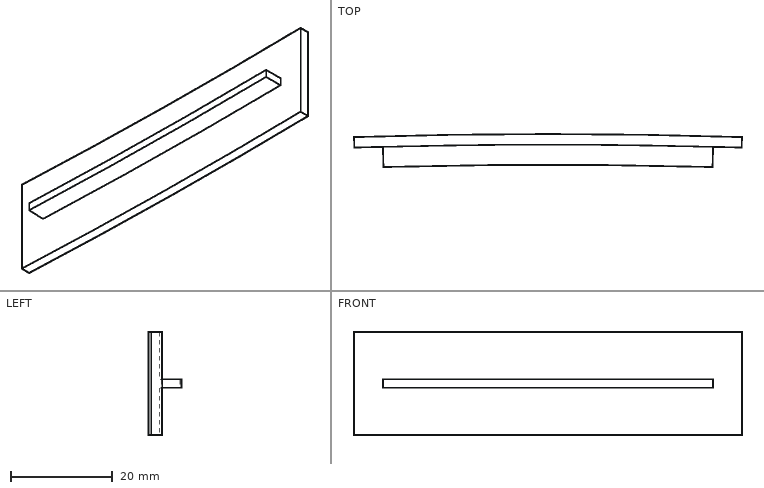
import cadquery as cq
import math

plate_length = 76.37
plate_height = 20.3
plate_thickness = 2.1
back_radius = 1200.0
rib_length = 65.0
rib_depth = 4.0
rib_thickness = 1.7

front_radius = back_radius - plate_thickness
rib_tip_radius = front_radius - rib_depth
rib_root_overlap = plate_thickness / 2
rib_root_radius = front_radius + rib_root_overlap

plate_half_angle = math.asin(plate_length / 2 / back_radius)
rib_half_angle = math.asin(rib_length / 2 / front_radius)


def arc_point(radius, angle):
    """Point on a concentric arc; the middle of the back face is the origin."""
    return (radius * math.sin(angle), radius * math.cos(angle) - back_radius)


def curved_bar(outer_radius, inner_radius, half_angle, height):
    """Bar between two concentric arcs with radial ends, centred on Z = 0."""
    return (
        cq.Workplane("XY")
        .moveTo(*arc_point(outer_radius, -half_angle))
        .threePointArc(arc_point(outer_radius, 0), arc_point(outer_radius, half_angle))
        .lineTo(*arc_point(inner_radius, half_angle))
        .threePointArc(arc_point(inner_radius, 0), arc_point(inner_radius, -half_angle))
        .close()
        .extrude(height / 2, both=True)
    )


plate = curved_bar(back_radius, front_radius, plate_half_angle, plate_height)
rib = curved_bar(rib_root_radius, rib_tip_radius, rib_half_angle, rib_thickness)

result = plate.union(rib)